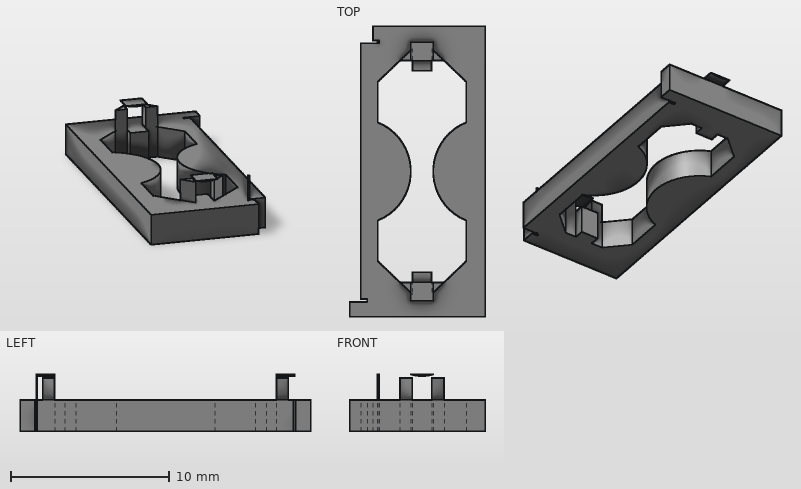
import cadquery as cq


frame_length = 18.4
frame_height = 2.0
right_edge = 4.01
left_edge = -3.88
foot_left = -4.58
step_left = -3.11
half_length = frame_length / 2

slot_width = 0.17
slot_depth = 0.4
back_slot_top = 8.28
back_slot_bottom = back_slot_top - slot_width
back_slot_end = step_left + slot_depth
front_slot_bottom = -8.25
front_slot_top = front_slot_bottom + slot_width
front_slot_end = left_edge + slot_depth

opening_half_width = 2.8
shoulder_y = 5.67
end_half_width = 0.6
end_y = 7.76
lobe_half_chord = 3.11
lobe_gap = 1.4

post_top = 3.39
post_face_y = 7.01
wall_slope = (end_y - shoulder_y) / (opening_half_width - end_half_width)
post_outer_x = opening_half_width - (post_face_y - shoulder_y) / wall_slope
tab_end_y = 6.37

overall_height = 3.6
pin_width = 0.13
pin_thickness = 0.07

contact_width = 1.44
contact_length = 1.18
contact_sag = 0.11


def make_plate():
    return (
        cq.Workplane("XY")
        .polyline([
            (foot_left, -half_length),
            (right_edge, -half_length),
            (right_edge, half_length),
            (step_left, half_length),
            (step_left, back_slot_top),
            (back_slot_end, back_slot_top),
            (back_slot_end, back_slot_bottom),
            (left_edge, back_slot_bottom),
            (left_edge, front_slot_top),
            (front_slot_end, front_slot_top),
            (front_slot_end, front_slot_bottom),
            (foot_left, front_slot_bottom),
        ])
        .close()
        .extrude(frame_height)
    )


def make_opening():
    """Elongated octagon pinched at mid-length by two round lobes."""
    return (
        cq.Workplane("XY")
        .moveTo(opening_half_width, lobe_half_chord)
        .lineTo(opening_half_width, shoulder_y)
        .lineTo(end_half_width, end_y)
        .lineTo(-end_half_width, end_y)
        .lineTo(-opening_half_width, shoulder_y)
        .lineTo(-opening_half_width, lobe_half_chord)
        .threePointArc((-lobe_gap / 2, 0), (-opening_half_width, -lobe_half_chord))
        .lineTo(-opening_half_width, -shoulder_y)
        .lineTo(-end_half_width, -end_y)
        .lineTo(end_half_width, -end_y)
        .lineTo(opening_half_width, -shoulder_y)
        .lineTo(opening_half_width, -lobe_half_chord)
        .threePointArc((lobe_gap / 2, 0), (opening_half_width, lobe_half_chord))
        .close()
        .extrude(frame_height)
    )


def make_post(side, end):
    """Triangular post against a slanted wall; side and end are the X and Y signs."""
    return (
        cq.Workplane("XY")
        .polyline([
            (side * end_half_width, end * end_y),
            (side * post_outer_x, end * post_face_y),
            (side * end_half_width, end * post_face_y),
        ])
        .close()
        .extrude(post_top)
    )


def make_tab(end):
    """Rectangular block between two posts, level with the frame."""
    tab_length = end_y - tab_end_y
    return (
        cq.Workplane("XY")
        .center(0, end * (tab_end_y + tab_length / 2))
        .rect(2 * end_half_width, tab_length)
        .extrude(frame_height)
    )


def make_pin():
    return cq.Workplane("XY").box(
        pin_width, pin_thickness, overall_height, centered=False
    ).translate((back_slot_end - pin_width, back_slot_bottom, 0))


def make_frame():
    frame = make_plate().cut(make_opening())
    for end in (-1, 1):
        frame = frame.union(make_tab(end))
        for side in (-1, 1):
            frame = frame.union(make_post(side, end))
    return frame.union(make_pin()).solids()


def make_contact(end):
    centre_y = end * (post_face_y + contact_length / 2)
    return (
        cq.Workplane("XZ")
        .moveTo(-contact_width / 2, overall_height)
        .threePointArc((0, overall_height - contact_sag), (contact_width / 2, overall_height))
        .close()
        .extrude(contact_length / 2, both=True)
        .translate((0, centre_y, 0))
    )


frame = make_frame()
contacts = [make_contact(end) for end in (-1, 1)]

result = cq.Compound.makeCompound([frame.val(), *[contact.val() for contact in contacts]])